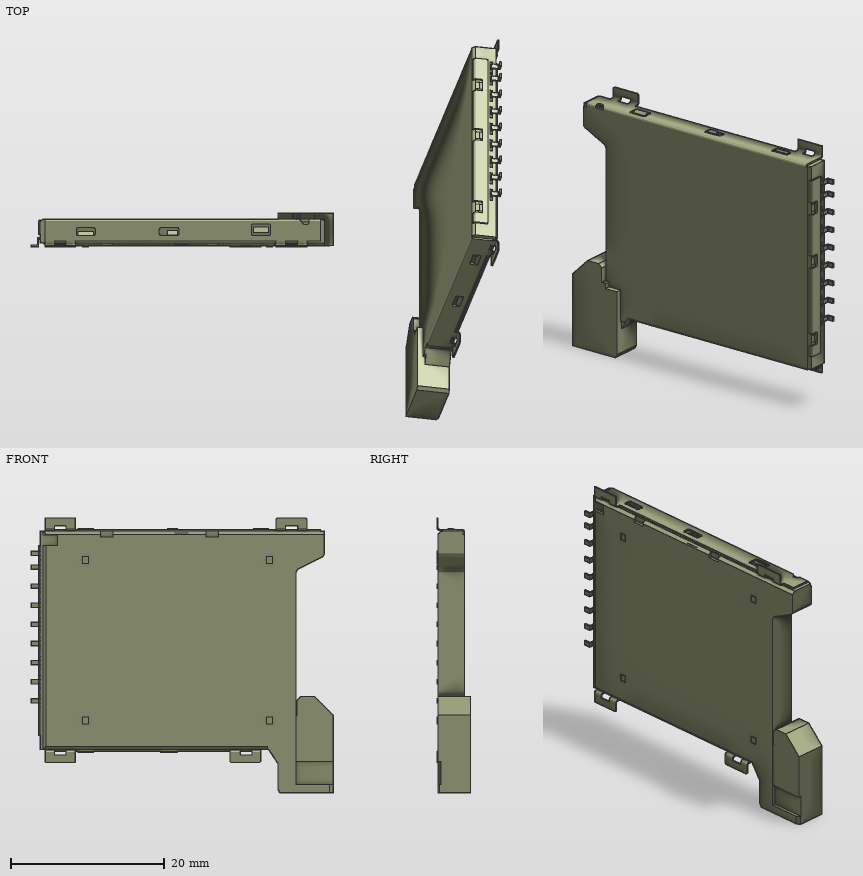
import cadquery as cq

total_x = 39.45
total_y = 4.4
total_z = 35.92

body_left = 1.17
body_bottom = 5.67
body_top = 34.2
mid_z = (body_bottom + body_top) / 2
plate_front = 0.12
plate_back = 0.5
body_back = 3.62
left_bevel_size = 0.36

plate_left = 1.52
plate_bevel = 0.42
plate_right = 34.6
ear_right = 38.3
ear_low_z = 30.95
neck_z = 29.1
bracket_left = 32.2
bracket_slope_start = 31.0
bracket_slope_end = 3.85
bracket_back = 3.38
foot_corner_x = 0.27
foot_corner_z = 0.5
rail_height = 1.13

button_left = 34.7
button_top = 12.6
button_front = 0.15
grip_front = 0.53
grip_top = 4.09
button_step_x = 34.1
button_step_z = 9.36
button_waist_z = 10.1
button_ramp_x = 34.35
button_ramp_height = 0.12
button_corner = 0.5

sheet = 0.17
cover_outer = body_top + 0.24
cover_left = 1.82
cover_right = 37.8
cover_bottom_right = 29.98
cover_front = 0.76
cover_round = 0.38
round_gap = 0.01
cover_back = body_back - cover_round
hook_height = 0.13

tab_bend = 0.37
tab_slot_end = 34.89

pin_pitch = 2.5
pin_first = 12.02
pitched_pins = 7
extra_pins = (29.5, 31.3)
pin_width = 0.6
pin_sheet = 0.24
pin_bend = 0.11
pin_stem_left = 0.8
pin_stem_right = 0.98
pin_top = 1.18


def box(x0, x1, y0, y1, z0, z1):
    return cq.Workplane("XY").box(x1 - x0, y1 - y0, z1 - z0, centered=False).translate((x0, y0, z0))


def along_y(points, y0, y1):
    """Extrude an XZ outline from y0 to y1."""
    return cq.Workplane("XZ").polyline(points).close().extrude(-(y1 - y0)).translate((0, y0, 0))


def along_x(points, x0, x1):
    """Extrude a YZ outline from x0 to x1."""
    return cq.Workplane("YZ").polyline(points).close().extrude(x1 - x0).translate((x0, 0, 0))


def along_z(points, z0, z1):
    """Extrude an XY outline from z0 to z1."""
    return cq.Workplane("XY").polyline(points).close().extrude(z1 - z0).translate((0, 0, z0))


def flip_z(shape):
    """Mirror a top wall feature onto the bottom wall."""
    return shape.mirror("XY", (0, 0, mid_z))


def housing_outline(left):
    return [
        (left, body_bottom),
        (bracket_slope_start, body_bottom),
        (bracket_left, bracket_slope_end),
        (bracket_left, foot_corner_z),
        (bracket_left + foot_corner_x, 0),
        (total_x, 0),
        (total_x, rail_height),
        (plate_right, rail_height),
        (plate_right, neck_z),
        (ear_right, ear_low_z),
        (ear_right, body_top),
        (left, body_top),
    ]


def round_ear(solid):
    """Round the two ends of the slanted edge below the upper right ear."""
    ear_radius = 0.7
    margin = 0.1
    zone_low = (plate_right - margin, 0, neck_z - margin)
    zone_high = (ear_right + margin, total_y, ear_low_z + margin)
    ear_zone = cq.selectors.BoxSelector(zone_low, zone_high)
    return solid.edges("|Y").edges(ear_zone).fillet(ear_radius)


def back_corner(right_end):
    """Square bar along the rear edge of the top wall, where the cover is rounded."""
    return box(cover_left, right_end, cover_back, body_back, cover_outer - cover_round, cover_outer)


def make_body():
    body = round_ear(along_y(housing_outline(body_left), plate_back, body_back))
    body = body.cut(back_corner(cover_right))
    body = body.cut(flip_z(back_corner(cover_bottom_right)))
    left_bevel = [
        (body_left, body_back),
        (body_left + left_bevel_size, body_back),
        (body_left, body_back - left_bevel_size),
    ]
    body = body.cut(along_z(left_bevel, body_bottom, body_top))
    end_bevel_depth = 0.2
    end_bevel = [
        (ear_right, body_back),
        (cover_right, body_back),
        (ear_right, body_back - end_bevel_depth),
    ]
    body = body.cut(along_z(end_bevel, body_top - plate_bevel, body_top))

    lip_bottom = 5.0
    step = box(bracket_slope_start, bracket_left, bracket_back, body_back, bracket_slope_end, lip_bottom)
    return body.cut(step)


def make_plate():
    plate = round_ear(along_y(housing_outline(plate_left), plate_front, plate_back))
    top_bevel = [
        (plate_front, body_top - plate_bevel),
        (plate_front, body_top),
        (plate_back, body_top),
    ]
    plate = plate.cut(along_x(top_bevel, plate_left, ear_right))
    bottom_bevel_end = 30.85
    plate = plate.cut(flip_z(along_x(top_bevel, plate_left, bottom_bevel_end)))
    left_bevel = [
        (plate_left, plate_front),
        (plate_left + plate_bevel, plate_front),
        (plate_left, plate_back),
    ]
    plate = plate.cut(along_z(left_bevel, body_bottom, body_top))

    notch_right = 3.42
    notch_bottom = 32.3
    notch_top = 33.7
    plate = plate.cut(box(plate_left, notch_right, plate_front, plate_back, notch_bottom, notch_top))

    edge_notch_width = 1.63
    edge_notch_bottom = 33.4
    for x in (9.04, 22.85):
        plate = plate.cut(
            box(x, x + edge_notch_width, plate_front, plate_back, edge_notch_bottom, body_top)
        )

    flat_left = 18.78
    flat_right = 20.46
    flat_depth = 0.15
    flat_bottom = 33.92
    flat_back = plate_front + flat_depth
    plate = plate.cut(box(flat_left, flat_right, plate_front, flat_back, flat_bottom, body_top))

    pad_width = 0.82
    pad_height = 0.9
    for x in (6.68, 30.72):
        for z in (9.0, 29.95):
            plate = plate.union(box(x, x + pad_width, 0, plate_front, z, z + pad_height))

    rail_bevel_x = 0.5
    rail_bevel_y = 0.25
    rail_bevel = [
        (total_x, plate_front),
        (total_x, plate_front + rail_bevel_y),
        (total_x - rail_bevel_x, plate_front),
    ]
    return plate.cut(along_z(rail_bevel, 0, rail_height))


def make_button():
    right_corner = 2.45
    head = [
        (button_left, button_top - button_corner),
        (button_left + button_corner, button_top),
        (total_x - right_corner, button_top),
        (total_x, button_top - right_corner),
    ]
    knob_outline = [
        (total_x, rail_height),
        (plate_right, rail_height),
        (plate_right, button_waist_z),
        (button_left, button_waist_z),
    ] + head
    knob = along_y(knob_outline, button_front, body_back)
    knob = knob.cut(box(plate_right, total_x, button_front, grip_front, rail_height, grip_top))

    slab_outline = [
        (total_x, 0),
        (bracket_left + foot_corner_x, 0),
        (bracket_left, foot_corner_z),
        (bracket_left, button_step_z),
        (button_step_x, button_step_z),
        (button_step_x, button_waist_z - button_ramp_height),
        (button_ramp_x, button_waist_z),
        (button_left, button_waist_z),
    ] + head
    return knob.union(along_y(slab_outline, body_back, total_y))


def make_cover_wall(right_end):
    """Flat wall with a rounded rear edge."""
    wall = box(cover_left, right_end, cover_front, cover_back, body_top, cover_outer)
    round_edge = back_corner(right_end).edges("|X and >Y and >Z").fillet(cover_round - round_gap)
    return wall.union(round_edge)


def latch(wall, window, hook):
    """Cut a rounded window in the top wall and add the sloped latch hook inside it."""
    corner = 0.25
    opening = box(*window, body_top, cover_outer).edges("|Z").fillet(corner)
    x0, x1, y0, y1 = hook
    ramp = [
        (y0, body_top),
        (y1, body_top),
        (y1, cover_outer - sheet / 2),
        (y0, cover_outer + hook_height),
    ]
    return wall.cut(opening).union(along_x(ramp, x0, x1))


def make_tab(left, width, slot_offset, slot_width, corner):
    """Slotted solder tab that bends out of the top wall and stands up at the front."""
    wall_inner = cover_outer - sheet
    bend_z = wall_inner + tab_bend
    inner_radius = tab_bend - sheet
    diagonal = 0.5 ** 0.5
    profile = (
        cq.Workplane("YZ")
        .moveTo(0, total_z)
        .lineTo(0, bend_z)
        .threePointArc(
            (tab_bend * (1 - diagonal), bend_z - tab_bend * diagonal), (tab_bend, wall_inner)
        )
        .lineTo(cover_front, wall_inner)
        .lineTo(cover_front, cover_outer)
        .lineTo(tab_bend, cover_outer)
        .threePointArc(
            (tab_bend - inner_radius * diagonal, bend_z - inner_radius * diagonal), (sheet, bend_z)
        )
        .lineTo(sheet, total_z)
        .close()
    )
    tab = profile.extrude(width).translate((left, 0, 0))
    if corner:
        tab = tab.faces(">Z").edges("|Y").chamfer(corner)
    slot_left = left + slot_offset
    slot = box(slot_left, slot_left + slot_width, 0, cover_front, wall_inner, tab_slot_end)
    return tab.cut(slot)


def make_covers():
    left_hook = (6.13, 8.15, 1.48, 1.97)
    left_window = (5.88, 8.37, 1.48, 2.5)
    middle_window = (16.72, 19.33, 1.48, 2.5)
    right_window = (28.77, 31.25, 1.48, 3.0)
    middle_hook = (17.78, 19.09, 1.55, 2.1)
    lower_middle_hook = (16.87, 19.1, 1.55, 2.1)
    right_hook = (29.01, 31.01, 1.85, 2.6)
    top = make_cover_wall(cover_right)
    top = latch(top, left_window, left_hook)
    top = latch(top, middle_window, middle_hook)
    top = latch(top, right_window, right_hook)

    rear_notch = [(35.0, body_back), (35.6, 2.9), (36.1, 2.9), (36.3, 3.1), (36.3, body_back)]
    top = top.cut(along_z(rear_notch, cover_outer - cover_round, cover_outer))

    bottom = make_cover_wall(cover_bottom_right)
    bottom = latch(bottom, left_window, left_hook)
    bottom = latch(bottom, middle_window, lower_middle_hook)

    left_tab = (cover_left, 3.95, 1.22, 1.5)
    top_right_tab = (31.95, 4.1, 1.27, 1.58)
    bottom_right_tab = (25.93, 4.05, 1.38, 1.5)
    sharp = 0
    small_corner = 0.12
    large_corner = 0.18
    top = top.union(make_tab(*left_tab, sharp))
    top = top.union(make_tab(*top_right_tab, large_corner))
    bottom = bottom.union(make_tab(*left_tab, small_corner))
    bottom = bottom.union(make_tab(*bottom_right_tab, large_corner))
    return top, flip_z(bottom)


def make_connector_bar():
    """Raised bar wrapping the rear corner of the left face, with three latch notches."""
    bar_left = 0.93
    bar_inner = body_left + left_bevel_size
    bar_front = 1.62
    bar_back = 3.5
    bar_round_start = 3.2
    bar_round_middle = (1.0, 3.41)
    bar_corner = 0.15
    bar_bottom = 7.5
    bar_top = 32.3
    outline = (
        cq.Workplane("XY")
        .moveTo(bar_inner, bar_front)
        .lineTo(bar_left, bar_front)
        .lineTo(bar_left, bar_round_start)
        .threePointArc(bar_round_middle, (body_left, bar_back))
        .lineTo(bar_inner, bar_back)
        .close()
    )
    bar = outline.extrude(bar_top - bar_bottom).translate((0, 0, bar_bottom))
    bar = bar.edges("|X").edges("<Y").fillet(bar_corner)
    notch_clearance = 0.1
    notch_left = bar_left - notch_clearance
    notch_front = 2.34
    notch_half = 0.86
    notch_corner = 0.2
    hook_half = 0.5
    hook_rise = 0.06
    hook_left = body_left - hook_rise
    hook_outline = [
        (body_left, 2.45),
        (hook_left, 2.7),
        (body_left, 3.15),
    ]
    for z in (9.86, 20.8, 28.32):
        notch = box(notch_left, bar_inner, notch_front, body_back, z - notch_half, z + notch_half)
        bar = bar.cut(notch.edges("|X").edges("<Y").fillet(notch_corner))
        bar = bar.union(along_z(hook_outline, z - hook_half, z + hook_half))
    return bar


def pin_heights():
    return [pin_first + pin_pitch * i for i in range(pitched_pins)] + list(extra_pins)


def make_pin(z):
    """Z-shaped contact: foot on the board, stem, and a short arm into the housing."""
    outline = [
        (0, 0),
        (pin_stem_right, 0),
        (pin_stem_right, pin_top - pin_sheet),
        (body_left + pin_sheet, pin_top - pin_sheet),
        (body_left + pin_sheet, pin_top),
        (pin_stem_left, pin_top),
        (pin_stem_left, pin_sheet + pin_bend),
        (pin_stem_left - pin_bend, pin_sheet),
        (0, pin_sheet),
    ]
    return along_z(outline, z - pin_width / 2, z + pin_width / 2)


def cut_pin_slots(body):
    slot_front = 0.98
    slot_back = 1.3
    slot_half = 0.8
    slot_depth = 0.15
    for z in pin_heights():
        slot = box(body_left, body_left + slot_depth, slot_front, slot_back, z - slot_half, z + slot_half)
        body = body.cut(slot)
    return body


result = cut_pin_slots(make_body())
result = result.union(make_plate()).union(make_button()).union(make_connector_bar())
for cover in make_covers():
    result = result.union(cover)
for pin_z in pin_heights():
    result = result.union(make_pin(pin_z))